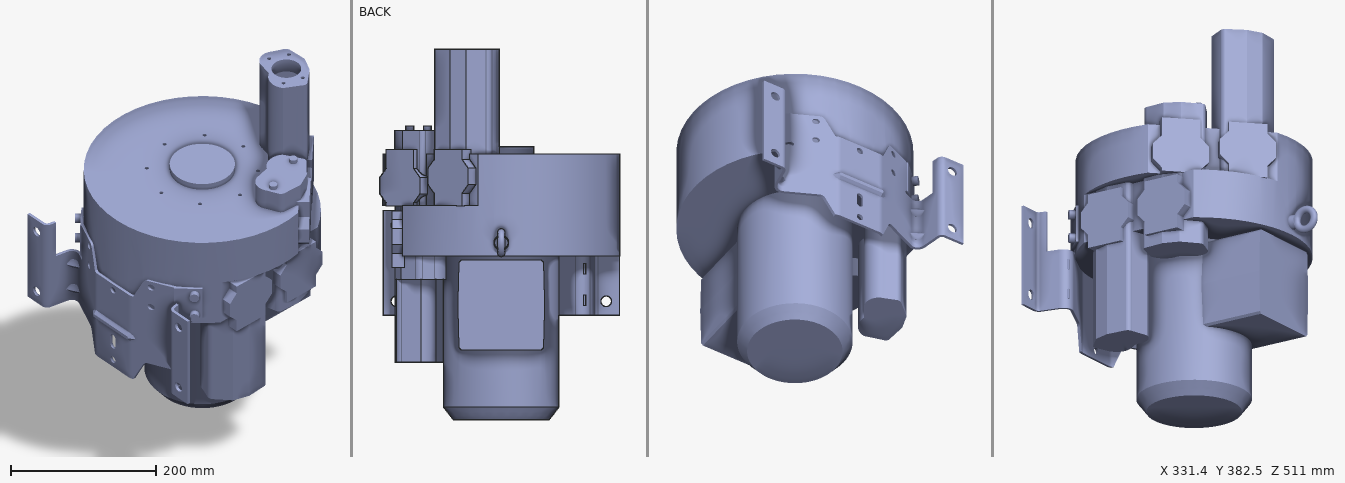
import cadquery as cq
import math


total_height = 511.0
housing_bottom = 226.0
stage_joint = 296.0
housing_top = 367.0

housing_radius = 163.5
flat_distance = 136.0
lid_radius = 45.0
lid_height = 9.5
cover_hole_circle = 76.5
cover_hole_count = 8
screw_hole_radius = 2.8
screw_hole_depth = 10.0

motor_radius = 79.5
motor_end_radius = 66.0
motor_cone_height = 18.0

terminal_half_width = 60.0
terminal_draft = 1.5
terminal_chamfer = 3.0
terminal_bottom = 96.5
terminal_top = 220.0
terminal_reach = 149.0

upper_port_angle = 45.0
lower_port_angle = 0.0
flange_face = 151.0
flange_overlap = 4.0
flange_height = 78.0
flange_inner = 7.5
flange_outer = 86.5
flange_nose = 12.5
flange_nose_half_height = 11.0
upper_flange_top = 373.0
upper_nose_levels = (335.5, 323.0)
lower_flange_top = 288.0
lower_nose_levels = (253.0, 253.0)

short_silencer_height = 32.0
long_silencer_length = 146.5
cap_screws = [(18.0, 126.0), (77.0, 101.0)]
cap_screw_radius = 5.5
cap_screw_height = 6.0
bore_center = (46.5, 114.0)
bore_radius = 20.5
bore_depth = 21.0
outlet_screws = [(78.0, 116.0), (68.0, 89.5), (27.0, 137.5), (14.5, 111.5)]

eye_ring_radius = 14.5
eye_wire_radius = 5.0
eye_level = 244.5
eye_center = 185.5
eye_collar_radius = 10.5
eye_collar_tip_radius = 9.0
eye_root_overlap = 4.0

sheet = 4.0
bracket_bottom = 144.0
bracket_top = 288.5
center_drop = 34.0
center_half_width = 35.0
center_face = 167.0
crest_point = (116.0, 130.0)
arm_foot_x = 125.5
foot_half_span = 163.0
foot_face = 177.5
center_bend_radius = 11.0
crest_bend_radius = 10.0
foot_bend_radius = 5.0
shoulder_inner = 39.0
shoulder_outer = 54.0
shoulder_fillet = 7.5
relief_level = 230.0
relief_width = 5.5
relief_start = 91.0
tab_start = -32.0
tab_end = 7.0
arm_upper_start = 161.0
tab_inner = 163.0
bolt_offset = -3.5
bolt_levels = [244.5, 278.5]
bolt_radius = 6.5
bolt_head_height = 8.0

foot_hole_x = 144.5
foot_hole_levels = [163.5, 268.5]
foot_hole_radius = 7.0
wing_hole_x = 63.5
wing_hole_radius = 4.85
center_hole_levels = [122.0, 244.5]
center_hole_radius = 5.0
slot_level = 154.0
slot_length = 23.5

gusset_levels = [165.0, 208.5]
gusset_half_height = 7.0
gusset_leg = 16.0
gusset_end_scale = 0.55

rib_level = 182.5
rib_half_length = 43.0
rib_half_width = 8.5
rib_crest_half_width = 2.5
rib_taper = 7.0
rib_height = 4.5


def port_plane(angle, level):
    """Horizontal plane whose Y axis points out of the port and X axis runs clockwise."""
    a = math.radians(angle)
    return cq.Plane(origin=(0, 0, level), xDir=(math.sin(a), -math.cos(a), 0), normal=(0, 0, 1))


def stage(angle, bottom, top):
    """Round stage with a flat where its ports leave."""
    body = cq.Workplane("XY").workplane(offset=bottom).circle(housing_radius).extrude(top - bottom)
    depth = housing_radius - flat_distance
    cutter = (
        cq.Workplane(port_plane(angle, bottom))
        .center(0, flat_distance + depth)
        .rect(2 * housing_radius, 2 * depth)
        .extrude(top - bottom)
    )
    return body.cut(cutter)


def port_flanges(angle, top, nose_levels):
    """Pair of flanges on the flat of a stage, each with a chamfered nose on both sides."""
    a = math.radians(angle)
    plane = cq.Plane(
        origin=(0, 0, 0),
        xDir=(math.sin(a), -math.cos(a), 0),
        normal=(-math.cos(a), -math.sin(a), 0),
    )
    nose_x = (flange_outer - flange_inner) / 2
    block_x = nose_x - flange_nose
    root = flat_distance - flange_overlap
    middle = (flange_outer + flange_inner) / 2
    pair = cq.Workplane("XY")
    for side, level in zip((-1, 1), nose_levels):
        nose_top = level + flange_nose_half_height
        nose_bottom = level - flange_nose_half_height
        right = [
            (block_x, top - flange_height),
            (block_x, nose_bottom - flange_nose),
            (nose_x, nose_bottom),
            (nose_x, nose_top),
            (block_x, nose_top + flange_nose),
            (block_x, top),
        ]
        left = [(-x, z) for x, z in reversed(right)]
        flange = (
            cq.Workplane(plane)
            .workplane(offset=-flange_face)
            .center(side * middle, 0)
            .polyline(right + left)
            .close()
            .extrude(flange_face - root)
        )
        pair = pair.add(flange)
    return pair.combine()


def silencer(angle, side, bottom, top):
    """Bean-shaped prism beside a port; side is +1 clockwise of it and -1 the other way.

    Outline points are distances along the port face and outward from the housing axis.
    """

    def at(u, n):
        return (side * u, n)

    return (
        cq.Workplane(port_plane(angle, bottom))
        .moveTo(*at(15.5, 144.0))
        .lineTo(*at(46.0, 146.0))
        .lineTo(*at(69.5, 138.5))
        .lineTo(*at(88.0, 118.0))
        .threePointArc(at(90.5, 113.5), at(90.0, 108.5))
        .lineTo(*at(84.0, 92.0))
        .threePointArc(at(71.0, 77.0), at(50.5, 80.5))
        .lineTo(*at(35.0, 90.5))
        .threePointArc(at(13.5, 94.5), at(3.0, 111.0))
        .lineTo(*at(10.0, 137.5))
        .threePointArc(at(12.0, 141.5), at(15.5, 144.0))
        .close()
        .extrude(top - bottom)
    )


def blower():
    body = stage(upper_port_angle, stage_joint, housing_top)
    body = body.union(stage(lower_port_angle, housing_bottom, stage_joint))

    lid = cq.Workplane("XY").workplane(offset=housing_top).circle(lid_radius).extrude(lid_height)
    motor = (
        cq.Workplane("XZ")
        .polyline(
            [
                (0, 0),
                (motor_end_radius, 0),
                (motor_radius, motor_cone_height),
                (motor_radius, stage_joint),
                (0, stage_joint),
            ]
        )
        .close()
        .revolve(360, (0, 0, 0), (0, 1, 0))
    )
    cover_holes = (
        cq.Workplane("XY")
        .workplane(offset=housing_top)
        .polarArray(cover_hole_circle, 0, 360, cover_hole_count)
        .circle(screw_hole_radius)
        .extrude(-screw_hole_depth)
    )
    return body.union(lid).union(motor).cut(cover_holes)


def terminal_box():
    """Box with slightly ridged sides reaching out of the motor toward +Y."""
    middle = (terminal_top + terminal_bottom) / 2
    side_x = terminal_half_width - terminal_draft
    top_x = side_x - terminal_chamfer
    right = [
        (top_x, terminal_bottom),
        (side_x, terminal_bottom + terminal_chamfer),
        (terminal_half_width, middle),
        (side_x, terminal_top - terminal_chamfer),
        (top_x, terminal_top),
    ]
    left = [(-x, z) for x, z in reversed(right)]
    return cq.Workplane("XZ").polyline(right + left).close().extrude(-terminal_reach)


def silencers():
    short_top = housing_top + short_silencer_height
    short_bottom = housing_bottom - short_silencer_height
    long_bottom = housing_bottom - long_silencer_length
    outlet = silencer(upper_port_angle, -1, stage_joint, total_height)
    capped = silencer(upper_port_angle, 1, stage_joint, short_top)
    lower_long = silencer(lower_port_angle, 1, long_bottom, stage_joint)
    lower_short = silencer(lower_port_angle, -1, short_bottom, stage_joint)

    outlet_plane = port_plane(upper_port_angle, total_height)
    bore = (
        cq.Workplane(outlet_plane)
        .center(-bore_center[0], bore_center[1])
        .circle(bore_radius)
        .extrude(-bore_depth)
    )
    screw_holes = (
        cq.Workplane(outlet_plane)
        .pushPoints([(-u, n) for u, n in outlet_screws])
        .circle(screw_hole_radius)
        .extrude(-screw_hole_depth)
    )
    screws = (
        cq.Workplane(port_plane(upper_port_angle, short_top))
        .pushPoints(cap_screws)
        .circle(cap_screw_radius)
        .extrude(cap_screw_height)
    )
    outlet = outlet.cut(bore).cut(screw_holes)
    return outlet.union(capped).union(screws).union(lower_long).union(lower_short)


def lifting_eye():
    ring = cq.Workplane(cq.Solid.makeTorus(eye_ring_radius, eye_wire_radius, dir=cq.Vector(1, 0, 0)))
    ring = ring.translate((0, eye_center, eye_level))
    root = housing_radius - eye_root_overlap
    collar = cq.Workplane(
        cq.Solid.makeCone(
            eye_collar_radius,
            eye_collar_tip_radius,
            eye_center - eye_ring_radius - root,
            pnt=cq.Vector(0, root, eye_level),
            dir=cq.Vector(0, 1, 0),
        )
    )
    return ring.union(collar)


def bracket_path():
    """Outer face of the sheet along Z: foot, arm, crest, wing, center and back again."""
    half = [
        (center_half_width, -center_face),
        (crest_point[0], -crest_point[1]),
        (arm_foot_x, -foot_face),
        (foot_half_span, -foot_face),
    ]
    return [(-x, y) for x, y in reversed(half)] + half


def sheet_inner_face(path):
    """The path moved inward by the sheet thickness, with mitred corners."""
    normals = []
    for (x0, y0), (x1, y1) in zip(path, path[1:]):
        length = math.hypot(x1 - x0, y1 - y0)
        normals.append(((y0 - y1) / length, (x1 - x0) / length))
    inner = []
    for (x, y), before, after in zip(path, normals[:1] + normals, normals + normals[-1:]):
        stretch = sheet / (1 + before[0] * after[0] + before[1] * after[1])
        inner.append((x + stretch * (before[0] + after[0]), y + stretch * (before[1] + after[1])))
    return inner


def edge_at(point):
    """Selector for the upright edge of the sheet at one corner of its profile."""
    x, y = point
    near = sheet / 4
    return cq.selectors.BoxSelector((x - near, y - near, 0), (x + near, y + near, bracket_top))


def bent_sheet():
    """The sheet at the full height that its wings and center need together."""
    bottom = bracket_bottom - center_drop
    path = bracket_path()
    inner = sheet_inner_face(path)
    body = (
        cq.Workplane("XY")
        .workplane(offset=bottom)
        .polyline(path + inner[::-1])
        .close()
        .extrude(bracket_top - bottom)
    )
    half_radii = [
        (center_bend_radius + sheet, center_bend_radius),
        (crest_bend_radius, crest_bend_radius + sheet),
        (foot_bend_radius + sheet, foot_bend_radius),
    ]
    radii = half_radii[::-1] + half_radii
    for outer_corner, inner_corner, (outer_radius, inner_radius) in zip(path[1:-1], inner[1:-1], radii):
        body = body.edges("|Z").edges(edge_at(outer_corner)).fillet(outer_radius)
        body = body.edges("|Z").edges(edge_at(inner_corner)).fillet(inner_radius)
    return body


def gussets():
    """Tapered webs between the wing and the arm, inside the crest bends."""
    path = bracket_path()
    crest_index = path.index((crest_point[0], -crest_point[1]))
    corner = path[crest_index]

    def along(target, length):
        dx = target[0] - corner[0]
        dy = target[1] - corner[1]
        reach = length / math.hypot(dx, dy)
        return (corner[0] + reach * dx, corner[1] + reach * dy)

    def web(length):
        return [corner, along(path[crest_index - 1], length), along(path[crest_index + 1], length)]

    all_webs = cq.Workplane("XY")
    for level in gusset_levels:
        for up in (-1, 1):
            half_web = (
                cq.Workplane("XY")
                .workplane(offset=level)
                .polyline(web(gusset_leg))
                .close()
                .workplane(offset=up * gusset_half_height)
                .polyline(web(gusset_leg * gusset_end_scale))
                .close()
                .loft(ruled=True)
            )
            all_webs = all_webs.add(half_web).add(half_web.mirror("YZ"))
    return all_webs.combine()


def bracket_outline():
    """Front outline of the bracket: full wings, with the center set lower."""
    depth = foot_face
    center_top = bracket_top - center_drop
    center_bottom = bracket_bottom - center_drop
    right = [
        (shoulder_inner, center_bottom),
        (shoulder_outer, bracket_bottom),
        (foot_half_span, bracket_bottom),
        (foot_half_span, bracket_top),
        (shoulder_outer, bracket_top),
        (shoulder_inner, center_top),
    ]
    left = [(-x, z) for x, z in reversed(right)]
    outline = cq.Workplane("XZ").polyline(right + left).close().extrude(depth)
    reach = sheet
    for side in (-1, 1):
        for level in (bracket_bottom, bracket_top):
            corner = cq.selectors.BoxSelector(
                (side * (shoulder_outer - reach), -depth, level - reach),
                (side * (shoulder_outer + reach), depth, level + reach),
            )
            outline = outline.edges("|Y").edges(corner).fillet(shoulder_fillet)
    return outline


def drilled(x, levels, radius):
    """Round cutters along Y through the bracket, mirrored to both sides."""
    points = [(side * x, z) for side in (-1, 1) for z in levels]
    return (
        cq.Workplane("XZ")
        .workplane(offset=tab_inner / 2)
        .pushPoints(points)
        .circle(radius)
        .extrude(foot_face)
    )


def relief_cut():
    """Space above the lower bends, so that the tabs can follow the housing."""
    height = bracket_top - relief_level
    length = foot_half_span - relief_start
    cutter = cq.Workplane("XY")
    for side in (-1, 1):
        gap = (
            cq.Workplane("XZ")
            .workplane(offset=tab_inner / 2)
            .center(side * (relief_start + length / 2), relief_level + relief_width / 2)
            .slot2D(length, relief_width)
            .extrude(arm_upper_start - tab_inner / 2)
        )
        above = (
            cq.Workplane("XZ")
            .workplane(offset=tab_inner / 2)
            .center(side * (relief_start + sheet + length / 2), relief_level + height / 2)
            .rect(length, height)
            .extrude(arm_upper_start - tab_inner / 2)
        )
        cutter = cutter.add(gap).add(above)
    return cutter.combine()


def tab(side):
    """Tab tangent to the housing, held by two bolts."""
    plane = cq.Plane(origin=(0, 0, 0), xDir=(side, 1, 0), normal=(side, -1, 0))
    bottom = relief_level + relief_width
    height = bracket_top - bottom
    plate = (
        cq.Workplane(plane)
        .workplane(offset=tab_inner)
        .center((tab_start + tab_end) / 2, side * (bottom + height / 2))
        .rect(tab_end - tab_start, height)
        .extrude(sheet)
    )
    bolts = (
        cq.Workplane(plane)
        .workplane(offset=tab_inner)
        .pushPoints([(bolt_offset, side * z) for z in bolt_levels])
        .circle(bolt_radius)
        .extrude(sheet + bolt_head_height)
    )
    return plate.union(bolts)


def rib():
    """Pressed rib with a trapezoid section and pointed ends."""
    root = center_face - sheet / 2
    point = rib_half_length - rib_half_width

    def hexagon(half_width, half_length):
        return [
            (half_length, rib_level),
            (point, rib_level + half_width),
            (-point, rib_level + half_width),
            (-half_length, rib_level),
            (-point, rib_level - half_width),
            (point, rib_level - half_width),
        ]

    return (
        cq.Workplane("XZ")
        .workplane(offset=root)
        .polyline(hexagon(rib_half_width, rib_half_length))
        .close()
        .workplane(offset=center_face + rib_height - root)
        .polyline(hexagon(rib_crest_half_width, rib_half_length - rib_taper))
        .close()
        .loft(ruled=True)
    )


def bracket():
    body = bent_sheet().intersect(bracket_outline()).cut(relief_cut())
    body = body.union(tab(-1)).union(tab(1))
    body = body.cut(drilled(foot_hole_x, foot_hole_levels, foot_hole_radius))
    body = body.cut(drilled(wing_hole_x, bolt_levels, wing_hole_radius))
    body = body.cut(drilled(0, center_hole_levels, center_hole_radius))
    slot = (
        cq.Workplane("XZ")
        .workplane(offset=tab_inner / 2)
        .center(0, slot_level)
        .slot2D(slot_length, 2 * center_hole_radius, 90)
        .extrude(foot_face)
    )
    return body.cut(slot).union(rib()).union(gussets())


result = (
    blower()
    .union(port_flanges(upper_port_angle, upper_flange_top, upper_nose_levels))
    .union(port_flanges(lower_port_angle, lower_flange_top, lower_nose_levels))
    .union(silencers())
    .union(terminal_box())
    .union(lifting_eye())
    .union(bracket())
)